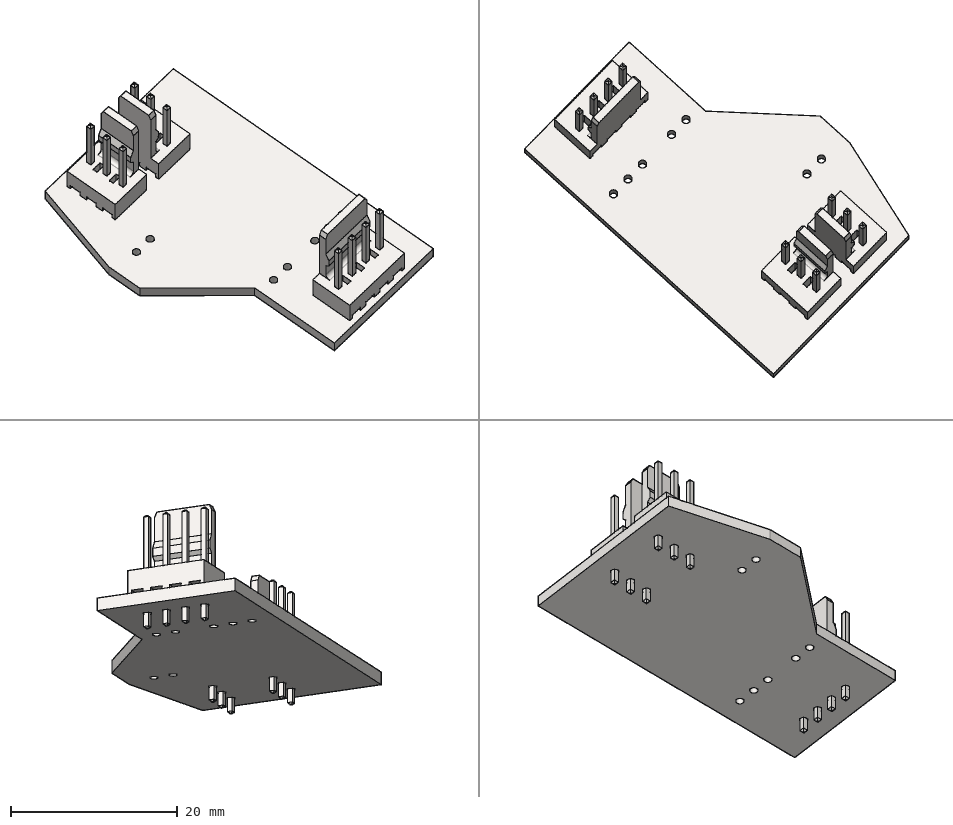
import cadquery as cq
import math

BOARD_LENGTH = 41.0
BOARD_WIDTH = 27.3
BOARD_THICKNESS = 1.6
LEFT_CORNER_Y = 3.55
FRONT_EDGE_START_X = 13.08
FRONT_EDGE_END_X = 17.95
STEP_X = 28.4
STEP_Y = 8.98

PITCH = 2.55
HOLE_DIAMETER = 1.0
RIGHT_ROW_X = 29.4
RIGHT_ROW_TOP_Y = 24.05
RIGHT_ROW_STEPS = (0, 1, 2, 4, 5)
LEFT_ROW_X = 14.2
LEFT_ROW_TOP_Y = 6.35
LEFT_ROW_STEPS = (0, 1)

HOUSING_DEPTH = 5.82
LATCH_FACE_Y = 2.95
HOUSING_END_SAVING = 0.05
HOUSING_HEIGHT = 3.15
CHANNEL_WIDTH = 1.5
CHANNEL_HEIGHT = 0.6
SLOT_WIDTH = 0.6
SLOT_DEPTH = 1.27

LATCH_HEIGHT = 8.55
LATCH_THICKNESS = 1.0
LATCH_ROOT_RADIUS = 1.2 / 2
LATCH_CORNER_WIDTH = 0.33
LATCH_CORNER_HEIGHT = 0.7
BUMP_DEPTH = 0.5
BUMP_START = 2.38
BUMP_FLAT_START = 2.85
BUMP_FLAT_END = 3.9
BUMP_END = 4.85

PIN_SIZE = 0.65
PIN_ABOVE_HOUSING = 7.6
PIN_BELOW_BOARD = 1.93
PIN_TIP_CHAMFER = 0.25

HEADERS = (
    (3, (5.37, 8.65), 0),
    (3, (5.45, 16.7), 180),
    (4, (37.4, 17.75), 90),
)


def row_offsets(count):
    """Pitch positions of a row, centred on zero."""
    return [(index - (count - 1) / 2) * PITCH for index in range(count)]


def make_housing(pin_count):
    """Block with a channel under each pin and a slot between each two pins."""
    middle_y = LATCH_FACE_Y - HOUSING_DEPTH / 2
    housing = (
        cq.Workplane("XY")
        .center(0, middle_y)
        .rect(pin_count * PITCH - HOUSING_END_SAVING, HOUSING_DEPTH)
        .extrude(HOUSING_HEIGHT)
    )
    channels = (
        cq.Workplane("XY")
        .pushPoints([(x, middle_y) for x in row_offsets(pin_count)])
        .rect(CHANNEL_WIDTH, HOUSING_DEPTH)
        .extrude(CHANNEL_HEIGHT)
    )
    slots = (
        cq.Workplane("XY")
        .pushPoints([(x, 0) for x in row_offsets(pin_count - 1)])
        .rect(SLOT_WIDTH, SLOT_DEPTH)
        .extrude(HOUSING_HEIGHT)
    )
    return housing.cut(channels).cut(slots)


def make_latch(pin_count):
    """Latch wall with a rounded root, a catching bump and bevelled upper corners."""
    width = (pin_count - 1) * PITCH
    inner_y = LATCH_FACE_Y - LATCH_THICKNESS
    bump_y = inner_y - BUMP_DEPTH
    root_z = HOUSING_HEIGHT
    top_z = root_z + LATCH_HEIGHT
    latch = (
        cq.Workplane("YZ", origin=(-width / 2, 0, 0))
        .moveTo(LATCH_FACE_Y, root_z)
        .lineTo(LATCH_FACE_Y, top_z)
        .lineTo(inner_y, top_z)
        .lineTo(inner_y, root_z + BUMP_END)
        .lineTo(bump_y, root_z + BUMP_FLAT_END)
        .lineTo(bump_y, root_z + BUMP_FLAT_START)
        .lineTo(inner_y, root_z + BUMP_START)
        .lineTo(inner_y, root_z + LATCH_ROOT_RADIUS)
        .radiusArc((inner_y - LATCH_ROOT_RADIUS, root_z), LATCH_ROOT_RADIUS)
        .close()
        .extrude(width)
    )
    for side in (-1, 1):
        wedge = (
            cq.Workplane("XZ", origin=(0, LATCH_FACE_Y, 0))
            .moveTo(side * width / 2, top_z)
            .lineTo(side * (width / 2 - LATCH_CORNER_WIDTH), top_z)
            .lineTo(side * width / 2, top_z - LATCH_CORNER_HEIGHT)
            .close()
            .extrude(LATCH_THICKNESS)
        )
        latch = latch.cut(wedge)
    return latch


def make_pin():
    """Square pin with both ends tapered, running from under the board to above the housing."""
    bottom_z = -BOARD_THICKNESS - PIN_BELOW_BOARD
    length = HOUSING_HEIGHT + PIN_ABOVE_HOUSING - bottom_z
    return (
        cq.Workplane("XY", origin=(0, 0, bottom_z))
        .box(PIN_SIZE, PIN_SIZE, length, centered=(True, True, False))
        .faces("<Z or >Z")
        .chamfer(PIN_TIP_CHAMFER)
    )


def make_header(pin_count, centre, angle):
    """One-piece header: housing, latch and pins, standing on top of the board."""
    header = make_housing(pin_count).union(make_latch(pin_count))
    for x in row_offsets(pin_count):
        header = header.union(make_pin().translate((x, 0, 0)))
    return header.rotate((0, 0, 0), (0, 0, 1), angle).translate((*centre, BOARD_THICKNESS))


def pin_hole_points():
    """Board positions of all header pins."""
    points = []
    for pin_count, (centre_x, centre_y), angle in HEADERS:
        turn = math.radians(angle)
        for offset in row_offsets(pin_count):
            points.append((centre_x + offset * math.cos(turn), centre_y + offset * math.sin(turn)))
    return points


def make_board():
    """Plate with its open holes and one hole for each header pin."""
    outline = [
        (0, LEFT_CORNER_Y),
        (FRONT_EDGE_START_X, 0),
        (FRONT_EDGE_END_X, 0),
        (STEP_X, STEP_Y),
        (BOARD_LENGTH, STEP_Y),
        (BOARD_LENGTH, BOARD_WIDTH),
        (0, BOARD_WIDTH),
    ]
    open_holes = [(RIGHT_ROW_X, RIGHT_ROW_TOP_Y - step * PITCH) for step in RIGHT_ROW_STEPS]
    open_holes += [(LEFT_ROW_X, LEFT_ROW_TOP_Y - step * PITCH) for step in LEFT_ROW_STEPS]
    holes = (
        cq.Workplane("XY")
        .pushPoints(open_holes + pin_hole_points())
        .circle(HOLE_DIAMETER / 2)
        .extrude(BOARD_THICKNESS)
    )
    return cq.Workplane("XY").polyline(outline).close().extrude(BOARD_THICKNESS).cut(holes)


board = make_board()
headers = [make_header(*header) for header in HEADERS]

result = cq.Compound.makeCompound([board.val(), *[header.val() for header in headers]])